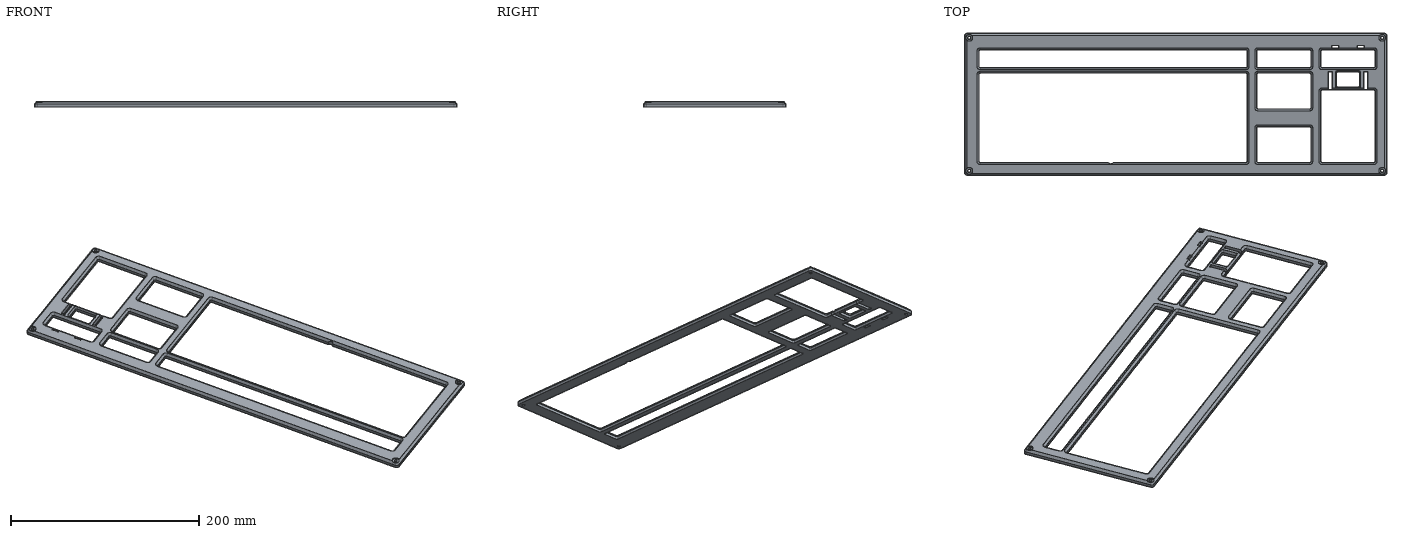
import cadquery as cq

length = 449.0
width = 151.5
thickness = 6.0
plate_corner_radius = 2.9
rim_inset = 2.2
rim_drop = 2.5

main_columns = 15
main_width = 285.0
pitch = main_width / main_columns
opening_corner_radius = 1.5
bevel_inset = 2.1
bevel_drop = 2.5

main_left = -209.2
block_width = 57.5
middle_left = 86.0
right_left = 154.5
right_centre = right_left + block_width / 2

front_edge = -62.0
function_row_gap = 6.0
main_rows = 5
block_rows = 2
function_front = front_edge + main_rows * pitch + function_row_gap
upper_block_front = front_edge + (main_rows - block_rows) * pitch
numpad_depth = 77.2

window_length = 24.2
window_depth = 16.0
window_centre_y = 26.5
window_bevel = 1.5
side_slot_width = 4.0
side_slot_offset = 19.0
side_slot_front = 15.5
side_slot_back = 34.5

indicator_width = 7.0
indicator_depth = 2.5
indicator_front = 59.5
indicator_offset = 13.5

screw_edge_distance = 5.0
screw_diameter = 3.2
head_diameter = 7.0
head_depth = 1.0

relief_radius = 3.5
relief_depth = 1.5
relief_x = -69.0


def rounded_rectangle(x_size, y_size, corner_radius):
    return cq.Sketch().rect(x_size, y_size).vertices().fillet(corner_radius)


def through_box(left, front, x_size, y_size):
    """Square-cornered cutter through the whole plate."""
    box = cq.Workplane("XY").box(x_size, y_size, thickness, centered=False)
    return box.translate((left, front, 0))


def bevelled_opening(left, front, x_size, y_size, inset):
    """Through cutter that flares out by `inset` towards the top face."""
    lower_outline = rounded_rectangle(x_size, y_size, opening_corner_radius)
    upper_outline = rounded_rectangle(x_size + 2 * inset, y_size + 2 * inset, opening_corner_radius + inset)
    shaft = cq.Workplane("XY").placeSketch(lower_outline).extrude(thickness)
    flare = (
        cq.Workplane("XY", origin=(0, 0, thickness - bevel_drop))
        .placeSketch(lower_outline, upper_outline.moved(cq.Location(cq.Vector(0, 0, bevel_drop))))
        .loft()
    )
    return shaft.union(flare).translate((left + x_size / 2, front + y_size / 2, 0))


def plate():
    """Outer block with rounded corners and a bevelled upper rim."""
    block = cq.Workplane("XY").box(length, width, thickness, centered=(True, True, False))
    block = block.edges("|Z").fillet(plate_corner_radius)
    return block.faces(">Z").edges().chamfer(rim_drop, rim_inset)


def cut_key_openings(body):
    block_depth = block_rows * pitch
    openings = [
        (main_left, front_edge, main_width, main_rows * pitch),
        (main_left, function_front, main_width, pitch),
        (middle_left, front_edge, block_width, block_depth),
        (middle_left, upper_block_front, block_width, block_depth),
        (middle_left, function_front, block_width, pitch),
        (right_left, front_edge, block_width, numpad_depth),
        (right_left, function_front, block_width, pitch),
    ]
    for left, front, x_size, y_size in openings:
        body = body.cut(bevelled_opening(left, front, x_size, y_size, bevel_inset))
    return body


def cut_window(body):
    window_left = right_centre - window_length / 2
    window_front = window_centre_y - window_depth / 2
    body = body.cut(bevelled_opening(window_left, window_front, window_length, window_depth, window_bevel))
    for side in (-1, 1):
        slot_left = right_centre + side * side_slot_offset - side_slot_width / 2
        slot_depth = side_slot_back - side_slot_front
        body = body.cut(through_box(slot_left, side_slot_front, side_slot_width, slot_depth))
    return body


def cut_indicator_slots(body):
    for side in (-1, 1):
        slot_left = right_centre + side * indicator_offset - indicator_width / 2
        body = body.cut(through_box(slot_left, indicator_front, indicator_width, indicator_depth))
    return body


def cut_screw_holes(body):
    x_span = length - 2 * screw_edge_distance
    y_span = width - 2 * screw_edge_distance
    return (
        body.faces(">Z")
        .workplane(origin=(0, 0, thickness))
        .rect(x_span, y_span, forConstruction=True)
        .vertices()
        .cboreHole(screw_diameter, head_diameter, head_depth)
    )


def cut_front_relief(body):
    """Rounded nick near the middle of the main opening's front edge."""
    centre_y = front_edge - relief_depth + relief_radius
    relief = cq.Workplane("XY").center(relief_x, centre_y).circle(relief_radius).extrude(thickness)
    return body.cut(relief)


result = plate()
result = cut_key_openings(result)
result = cut_window(result)
result = cut_indicator_slots(result)
result = cut_screw_holes(result)
result = cut_front_relief(result)